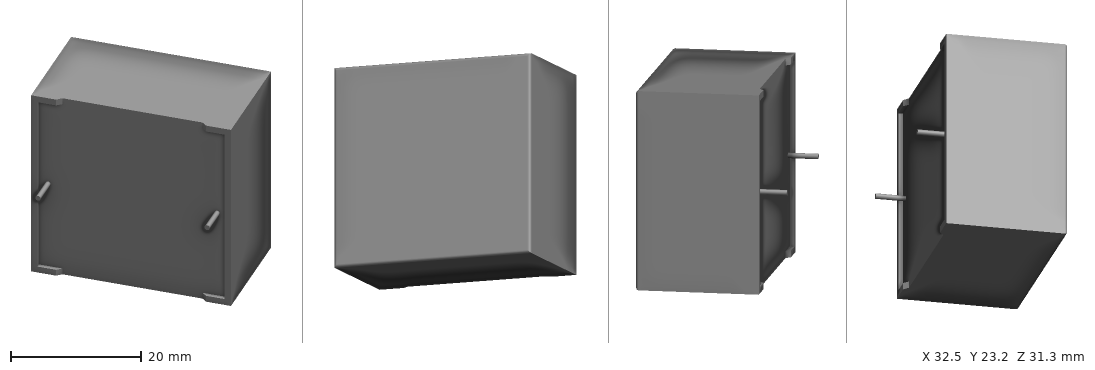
import cadquery as cq

width = 32.5
height = 31.3
total_depth = 23.2
pin_projection = 4.0
housing_depth = total_depth - pin_projection
wall = 1.05
back_edge_radius = 0.45

relief_depth = 0.7
foot_width = 4.05
foot_slope = 0.8

potting_recess = relief_depth
potting_depth = housing_depth - wall - potting_recess

pin_diameter = 0.85
pin_spacing = 27.5
pin_length = pin_projection + potting_recess

potting_face_y = potting_recess
cavity_width = width - 2 * wall
cavity_height = height - 2 * wall


def box_along_y(size_x, size_z, start_y, length):
    """Box centred on the Y axis, running from start_y toward +Y."""
    return cq.Workplane("XY").box(size_x, length, size_z).translate((0, start_y + length / 2, 0))


def make_relief_cutter():
    """Trapezoid that runs through the full height of the housing."""
    rim_half = width / 2 - foot_width
    floor_half = rim_half - foot_slope
    return (
        cq.Workplane("XY")
        .polyline([(-rim_half, 0), (rim_half, 0), (floor_half, relief_depth), (-floor_half, relief_depth)])
        .close()
        .extrude(height / 2, both=True)
    )


def make_housing():
    shell = box_along_y(width, height, 0, housing_depth)
    shell = shell.faces(">Y").edges().fillet(back_edge_radius)
    cavity = box_along_y(cavity_width, cavity_height, 0, housing_depth - wall)
    return shell.cut(cavity).cut(make_relief_cutter())


def make_potting():
    return box_along_y(cavity_width, cavity_height, potting_face_y, potting_depth)


def make_pin(x):
    """Round pin from the potting face toward -Y."""
    return (
        cq.Workplane("XZ", origin=(x, potting_face_y, 0))
        .circle(pin_diameter / 2)
        .extrude(pin_length)
    )


housing = make_housing()
potting = make_potting()
pins = [make_pin(side * pin_spacing / 2) for side in (-1, 1)]

result = cq.Compound.makeCompound([housing.val(), potting.val(), *[pin.val() for pin in pins]])